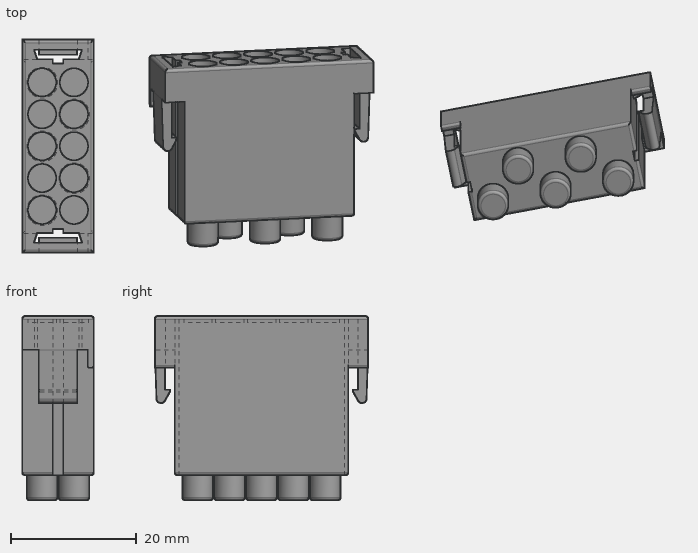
import cadquery as cq

WIDTH = 11.4
FLANGE_LENGTH = 34.0
FLANGE_HEIGHT = 5.4
BODY_LENGTH = 27.7
BODY_HEIGHT = 25.4
EDGE_RADIUS = 0.5

CONTACT_ROWS = 5
CONTACT_PITCH = 5.08
WELL_DIAMETER = 4.5
WELL_DEPTH = 1.0
PIN_DIAMETER = 4.9
PIN_LENGTH = 4.0
PIN_EDGE_RADIUS = 0.5

TAB_THICKNESS = 1.0
TAB_DROP = 2.9
TAB_EDGE_RADIUS = 0.4

LATCH_WIDTH = 6.1
LATCH_DROP = 8.5
LATCH_INNER_Y = 15.35
LATCH_TAPER = 0.25
LATCH_TIP_HEIGHT = 0.7
LATCH_TIP_INNER_RISE = 0.4
HOOK_DROP = 6.35
HOOK_REACH = 0.8
HOOK_NOSE_HEIGHT = 0.3

SLOT_OUTER_WIDTH = 7.6
SLOT_INNER_WIDTH = 6.6
GROOVE_WIDTH = 1.6
GROOVE_DEPTH = 0.65

flange_bottom = BODY_HEIGHT - FLANGE_HEIGHT
half_flange = FLANGE_LENGTH / 2
half_body = BODY_LENGTH / 2
column_x = CONTACT_PITCH / 2
row_ys = [(row - (CONTACT_ROWS - 1) / 2) * CONTACT_PITCH for row in range(CONTACT_ROWS)]


def at_both_ends(shape):
    """Return a shape made for the +Y end joined with its mirror at the -Y end."""
    return shape.union(shape.mirror("XZ"))


def make_housing():
    """Body block under a longer flange, rounded around the bottom and top rims."""
    body = cq.Workplane("XY").box(WIDTH, BODY_LENGTH, BODY_HEIGHT, centered=(True, True, False))
    flange = (
        cq.Workplane("XY", origin=(0, 0, flange_bottom))
        .box(WIDTH, FLANGE_LENGTH, FLANGE_HEIGHT, centered=(True, True, False))
    )
    return body.union(flange).faces("<Z or >Z").edges().fillet(EDGE_RADIUS)


def make_tab():
    """Keying tab below the flange overhang, flush with the +X side, with a rounded lower edge."""
    overhang = half_flange - half_body
    tab = cq.Workplane("XY").box(TAB_THICKNESS, overhang, TAB_DROP, centered=False)
    tab = tab.faces("<Z").edges("|Y").fillet(TAB_EDGE_RADIUS)
    return tab.translate((WIDTH / 2 - TAB_THICKNESS, half_body, flange_bottom - TAB_DROP))


def make_latch():
    """Tapered latch arm hanging from the flange, with an inward hook and a rounded tip."""
    tip_z = flange_bottom - LATCH_DROP
    hook_z = flange_bottom - HOOK_DROP
    hook_y = LATCH_INNER_Y - HOOK_REACH
    outer_tip_y = half_flange - LATCH_TAPER
    tip_y = (outer_tip_y + LATCH_INNER_Y) / 2
    return (
        cq.Workplane("YZ")
        .moveTo(LATCH_INNER_Y, flange_bottom)
        .lineTo(half_flange, flange_bottom)
        .lineTo(outer_tip_y, tip_z + LATCH_TIP_HEIGHT)
        .threePointArc((tip_y, tip_z), (LATCH_INNER_Y, tip_z + LATCH_TIP_INNER_RISE))
        .lineTo(hook_y, hook_z - HOOK_NOSE_HEIGHT)
        .lineTo(hook_y, hook_z)
        .lineTo(LATCH_INNER_Y, hook_z)
        .close()
        .extrude(LATCH_WIDTH / 2, both=True)
    )


def make_slot():
    """Trapezoidal opening through the flange between the latch and the body end."""
    return (
        cq.Workplane("XY", origin=(0, 0, flange_bottom))
        .polyline([
            (-SLOT_OUTER_WIDTH / 2, LATCH_INNER_Y),
            (SLOT_OUTER_WIDTH / 2, LATCH_INNER_Y),
            (SLOT_INNER_WIDTH / 2, half_body),
            (-SLOT_INNER_WIDTH / 2, half_body),
        ])
        .close()
        .extrude(FLANGE_HEIGHT)
    )


def make_groove():
    """Full-height groove in the middle of the body end, open into the slot."""
    return (
        cq.Workplane("XY")
        .box(GROOVE_WIDTH, GROOVE_DEPTH, BODY_HEIGHT, centered=(True, False, False))
        .translate((0, half_body - GROOVE_DEPTH, 0))
    )


def make_wells():
    """Shallow round wells in the top face, two columns of five."""
    centres = [(x, y) for x in (-column_x, column_x) for y in row_ys]
    return (
        cq.Workplane("XY", origin=(0, 0, BODY_HEIGHT - WELL_DEPTH))
        .pushPoints(centres)
        .circle(WELL_DIAMETER / 2)
        .extrude(WELL_DEPTH)
    )


def make_pins():
    """Round pins below the body, alternating between the two columns row by row."""
    centres = [(-column_x if row % 2 == 0 else column_x, y) for row, y in enumerate(row_ys)]
    return (
        cq.Workplane("XY")
        .pushPoints(centres)
        .circle(PIN_DIAMETER / 2)
        .extrude(-PIN_LENGTH)
        .faces("<Z")
        .edges()
        .fillet(PIN_EDGE_RADIUS)
    )


result = (
    make_housing()
    .union(at_both_ends(make_tab()))
    .union(at_both_ends(make_latch()))
    .cut(at_both_ends(make_slot()))
    .cut(at_both_ends(make_groove()))
    .cut(make_wells())
    .union(make_pins())
)